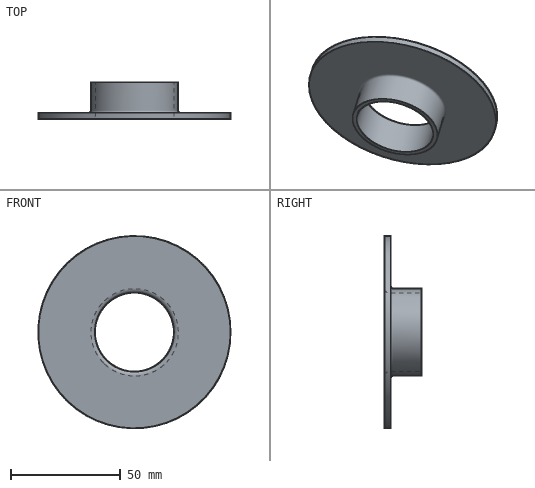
import cadquery as cq

flange_diameter = 88.0
flange_thickness = 3.0
total_length = 17.0
sleeve_diameter = 39.95
bore_diameter = 36.0
bore_entry_radius = (sleeve_diameter - bore_diameter) / 2
root_fillet_radius = 1.0

flange_radius = flange_diameter / 2
sleeve_radius = sleeve_diameter / 2
bore_radius = bore_diameter / 2


def half_section():
    """Section in the XY plane, on the +X side of the bushing axis."""
    return (
        cq.Workplane("XY")
        .moveTo(bore_radius + bore_entry_radius, 0)
        .lineTo(flange_radius, 0)
        .lineTo(flange_radius, flange_thickness)
        .lineTo(sleeve_radius + root_fillet_radius, flange_thickness)
        .radiusArc((sleeve_radius, flange_thickness + root_fillet_radius), root_fillet_radius)
        .lineTo(sleeve_radius, total_length)
        .lineTo(bore_radius, total_length)
        .lineTo(bore_radius, bore_entry_radius)
        .radiusArc((bore_radius + bore_entry_radius, 0), -bore_entry_radius)
        .close()
    )


result = half_section().revolve(360, (0, 0, 0), (0, 1, 0))